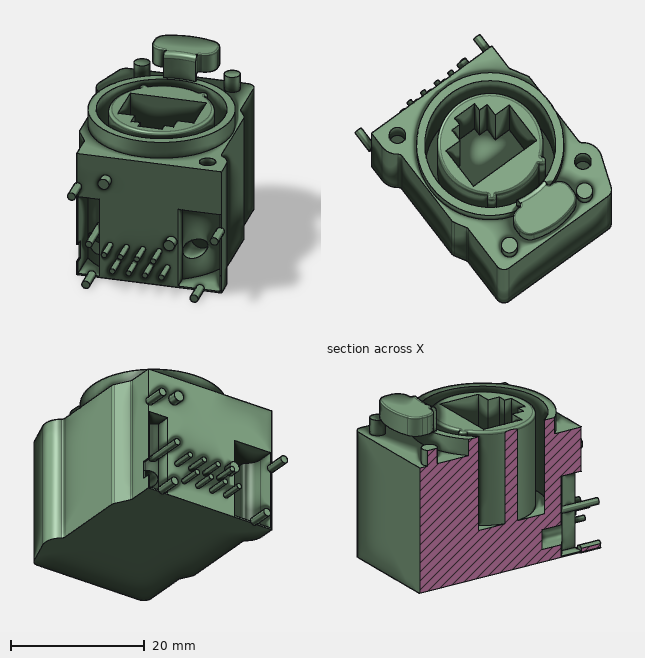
import cadquery as cq
import math


HOUSING_TOP = 20.35
BACK_Y = 16.45
FRONT_Y = -12.5
SIDE_X = 11.27
FRONT_LEFT_X = -9.68
BACK_RIGHT_X = 10.07
TAPER_ANGLE = 30
LEFT_STEP_Y = -5.4
RIGHT_STEP_Y = 5.7
EAR_OFFSET = 9.9
EAR_RADIUS = 2.9
EAR_HOLE_RADIUS = 1.25
EAR_HOLE_DEPTH = 4.9
EAR_FLANK_ANGLE = 20
BACK_CORNER_RADIUS = 1.3
STEP_OUTER_RADIUS = 1.15
STEP_INNER_RADIUS = 0.72
EAR_ROOT_RADIUS = 0.65

COLLAR_RADIUS = 11.0
COLLAR_TOP = 23.0
GROOVE_OUTER_RADIUS = 9.77
CORE_RADIUS = 7.92
CORE_TOP = COLLAR_TOP
CORE_EDGE_RADIUS = 0.45
CAVITY_FLOOR = 7.82
KEY_RADIUS = 0.7
KEY_CENTER_RADIUS = 8.0
KEY_ANGLES = (55, 125)

JACK_TOP_Y = 3.7
JACK_STEPS = ((5.9, -3.13), (3.3, -5.15), (1.85, -6.4))

POST_X = 7.0
POST_Y = 14.17
POST_RADIUS = 1.2
POST_TOP = 22.87

LATCH_TOP = 27.1
LATCH_BOTTOM = 24.08
LATCH_BACK_Y = 16.55
LATCH_HALF_WIDTH = 5.02
LATCH_FRONT_Y = 11.2
LATCH_BACK_ARC_RADIUS = 11.08
LATCH_CORNER_RADIUS = 1.95
LATCH_EDGE_RADIUS = 0.23
NECK_HALF_WIDTH = 2.5
NECK_ROOT_RADIUS = 0.35
ARM_INNER_RADIUS = 10.25
ARM_OUTER_RADIUS = 10.75
ARM_BEND_RADIUS = 0.85
ARM_EMBED = 0.15

WALL = 0.23
POCKET_FLOOR = 0.25
POCKET_TOP = 13.13
LEFT_POCKET_X = (FRONT_LEFT_X + WALL, -6.15)
RIGHT_POCKET_X = (6.05, EAR_OFFSET + EAR_RADIUS - WALL)
POCKET_BACK_RADIUS = 11.85
SOCKET_RADIUS = 1.55
SOCKETS = ((-7.82, 3.68), (7.7, 5.02))
SOCKET_END_Y = -5.55
NOTCH_DEPTH = 1.25
NOTCH_Z = (2.25, 5.08)

PIN_END_Y = -16.03
PEG_END_Y = -13.98
PEG_RADIUS = 0.85
PEGS = ((-5.1, 16.52), (5.05, 7.62))
GROUND_PIN_RADIUS = 0.62
GROUND_PINS = ((-9.5, 14.85), (12.65, 10.4), (-7.3, 0.35), (9.5, 0.35))
SHIELD_PIN = (-6.85, 7.2)
SHIELD_PIN_RADIUS = 0.52
SHIELD_PIN_START_Y = -7.82
CONTACT_RADIUS = 0.42
CONTACT_PITCH = 2.55
CONTACTS_PER_ROW = 4
CONTACT_ROWS = ((-4.45, 5.75), (-3.2, 3.2))


def on_circle(center, radius, angle):
    """Point on a circle, with the angle in degrees."""
    a = math.radians(angle)
    return (center[0] + radius * math.cos(a), center[1] + radius * math.sin(a))


def disc(x, y, radius, bottom, top):
    """Vertical cylinder between two heights."""
    return cq.Workplane("XY", origin=(x, y, bottom)).circle(radius).extrude(top - bottom)


def rod(x, z, radius, start_y, end_y):
    """Cylinder along -Y, from start_y forward to end_y."""
    return cq.Workplane("XZ", origin=(x, start_y, z)).circle(radius).extrude(start_y - end_y)


def block(x_range, y_range, z_range):
    """Box given by its two limits along each axis."""
    ranges = (x_range, y_range, z_range)
    size = [high - low for low, high in ranges]
    corner = [low for low, high in ranges]
    return cq.Workplane("XY").box(*size, centered=False).translate(tuple(corner))


def make_housing():
    """Prism of the housing outline with its vertical corners rounded."""
    slope = math.tan(math.radians(TAPER_ANGLE))
    left_ear = (-EAR_OFFSET, EAR_OFFSET)
    right_ear = (EAR_OFFSET, -EAR_OFFSET)

    left_step_inner = (FRONT_LEFT_X, LEFT_STEP_Y - (SIDE_X + FRONT_LEFT_X) / slope)
    left_step_outer = (-SIDE_X, LEFT_STEP_Y)
    right_step_outer = (SIDE_X, RIGHT_STEP_Y)
    right_step_inner = (BACK_RIGHT_X, RIGHT_STEP_Y + (SIDE_X - BACK_RIGHT_X) / slope)

    root_angle = math.degrees(math.acos((SIDE_X - EAR_OFFSET) / EAR_RADIUS))
    left_root = on_circle(left_ear, EAR_RADIUS, 180 + root_angle)
    right_root = on_circle(right_ear, EAR_RADIUS, root_angle)
    right_mid = on_circle(right_ear, EAR_RADIUS, root_angle / 2)
    right_end = on_circle(right_ear, EAR_RADIUS, 0)

    flank_angle = 180 - EAR_FLANK_ANGLE
    flank = on_circle(left_ear, EAR_RADIUS, flank_angle)
    left_mid = on_circle(left_ear, EAR_RADIUS, (180 + root_angle + flank_angle) / 2)
    flank_run = (BACK_Y - flank[1]) * math.tan(math.radians(EAR_FLANK_ANGLE))
    back_left = (flank[0] + flank_run, BACK_Y)
    back_right = (BACK_RIGHT_X, BACK_Y)

    housing = (
        cq.Workplane("XY")
        .moveTo(FRONT_LEFT_X, FRONT_Y)
        .lineTo(*left_step_inner)
        .lineTo(*left_step_outer)
        .lineTo(*left_root)
        .threePointArc(left_mid, flank)
        .lineTo(*back_left)
        .lineTo(*back_right)
        .lineTo(*right_step_inner)
        .lineTo(*right_step_outer)
        .lineTo(*right_root)
        .threePointArc(right_mid, right_end)
        .lineTo(right_end[0], FRONT_Y)
        .close()
        .extrude(HOUSING_TOP)
    )
    corner_radii = (
        (back_left, BACK_CORNER_RADIUS),
        (back_right, BACK_CORNER_RADIUS),
        (left_step_outer, STEP_OUTER_RADIUS),
        (right_step_outer, STEP_OUTER_RADIUS),
        (left_step_inner, STEP_INNER_RADIUS),
        (right_step_inner, STEP_INNER_RADIUS),
        (left_root, EAR_ROOT_RADIUS),
        (right_root, EAR_ROOT_RADIUS),
    )
    for (x, y), radius in corner_radii:
        corner = cq.selectors.NearestToPointSelector((x, y, HOUSING_TOP / 2))
        housing = housing.edges("|Z").edges(corner).fillet(radius)
    return housing


def make_core():
    """Plug core standing in the groove, with two keys and a rounded top rim."""
    core = disc(0, 0, CORE_RADIUS, CAVITY_FLOOR, CORE_TOP)
    for angle in KEY_ANGLES:
        x, y = on_circle((0, 0), KEY_CENTER_RADIUS, angle)
        core = core.union(disc(x, y, KEY_RADIUS, CAVITY_FLOOR, CORE_TOP))
    return core.faces(">Z").edges().fillet(CORE_EDGE_RADIUS)


def make_jack_opening():
    """Stepped opening for the modular plug, cut down to the cavity floor."""
    opening = cq.Workplane("XY")
    for half_width, lower_y in JACK_STEPS:
        step = block((-half_width, half_width), (lower_y, JACK_TOP_Y), (CAVITY_FLOOR, COLLAR_TOP))
        opening = opening.union(step)
    return opening


def make_latch():
    """Thumb pad and the bent arm that joins it to the collar."""
    back_arc_y = LATCH_BACK_Y - LATCH_BACK_ARC_RADIUS
    pad = block(
        (-LATCH_HALF_WIDTH, LATCH_HALF_WIDTH), (LATCH_FRONT_Y, LATCH_BACK_Y), (LATCH_BOTTOM, LATCH_TOP)
    )
    pad = pad.intersect(disc(0, back_arc_y, LATCH_BACK_ARC_RADIUS, LATCH_BOTTOM, LATCH_TOP))
    pad = pad.edges("|Z").fillet(LATCH_CORNER_RADIUS)

    bend_center = (ARM_INNER_RADIUS + ARM_BEND_RADIUS, LATCH_TOP - ARM_BEND_RADIUS)
    neck_x = (-NECK_HALF_WIDTH, NECK_HALF_WIDTH)
    neck = block(neck_x, (ARM_INNER_RADIUS, LATCH_FRONT_Y), (LATCH_BOTTOM, LATCH_TOP))
    pad = pad.union(neck)
    for side in (-1, 1):
        root = (side * NECK_HALF_WIDTH, LATCH_FRONT_Y, (LATCH_BOTTOM + LATCH_TOP) / 2)
        pad = pad.edges("|Z").edges(cq.selectors.NearestToPointSelector(root)).fillet(NECK_ROOT_RADIUS)
    pad = pad.faces(">Z").edges("not <Y").fillet(LATCH_EDGE_RADIUS)
    pad = pad.cut(disc(0, 0, bend_center[0], LATCH_BOTTOM, LATCH_TOP))

    arm = (
        cq.Workplane("XZ")
        .moveTo(ARM_INNER_RADIUS, COLLAR_TOP - ARM_EMBED)
        .lineTo(ARM_INNER_RADIUS, bend_center[1])
        .threePointArc(on_circle(bend_center, ARM_BEND_RADIUS, 135), (bend_center[0], LATCH_TOP))
        .lineTo(bend_center[0], LATCH_BOTTOM)
        .lineTo(ARM_OUTER_RADIUS, LATCH_BOTTOM)
        .lineTo(ARM_OUTER_RADIUS, COLLAR_TOP - ARM_EMBED)
        .close()
        .revolve(360, (0, 0, 0), (0, 1, 0))
    )
    arm = arm.intersect(block(neck_x, (0, LATCH_FRONT_Y), (0, LATCH_TOP)))
    return pad.union(arm)


def make_pocket(housing, x_range):
    """Hollow inside the housing wall, bounded behind by a convex cylinder."""
    outline = housing.faces("<Z").wires().val()
    inner = outline.offset2D(-WALL)[0]
    hollow = cq.Workplane("XY").add(inner).toPending().extrude(POCKET_TOP)
    hollow = hollow.union(block(x_range, (FRONT_Y - WALL, FRONT_Y + WALL), (0, POCKET_TOP)))
    hollow = hollow.intersect(block(x_range, (FRONT_Y - WALL, 0), (POCKET_FLOOR, POCKET_TOP)))
    return hollow.cut(disc(0, 0, POCKET_BACK_RADIUS, 0, POCKET_TOP))


def make_pins():
    """Locating pegs, ground pins, the shield pin and two staggered rows of contacts."""
    pins = rod(*SHIELD_PIN, SHIELD_PIN_RADIUS, SHIELD_PIN_START_Y, PIN_END_Y)
    for x, z in PEGS:
        pins = pins.union(rod(x, z, PEG_RADIUS, FRONT_Y, PEG_END_Y))
    for x, z in GROUND_PINS:
        pins = pins.union(rod(x, z, GROUND_PIN_RADIUS, FRONT_Y, PIN_END_Y))
    for first_x, z in CONTACT_ROWS:
        for i in range(CONTACTS_PER_ROW):
            contact = rod(first_x + i * CONTACT_PITCH, z, CONTACT_RADIUS, FRONT_Y, PIN_END_Y)
            pins = pins.union(contact)
    return pins


housing = make_housing()
left_pocket = make_pocket(housing, LEFT_POCKET_X)
right_pocket = make_pocket(housing, RIGHT_POCKET_X)
result = housing.cut(left_pocket).cut(right_pocket)
for socket_x, socket_z in SOCKETS:
    result = result.cut(rod(socket_x, socket_z, SOCKET_RADIUS, SOCKET_END_Y, FRONT_Y))
result = result.cut(block((FRONT_LEFT_X, LEFT_POCKET_X[0]), (FRONT_Y, FRONT_Y + NOTCH_DEPTH), NOTCH_Z))

result = result.union(disc(0, 0, COLLAR_RADIUS, HOUSING_TOP, COLLAR_TOP))
result = result.cut(disc(0, 0, GROOVE_OUTER_RADIUS, CAVITY_FLOOR, COLLAR_TOP))
result = result.union(make_core()).cut(make_jack_opening())

for sign in (-1, 1):
    result = result.union(disc(sign * POST_X, POST_Y, POST_RADIUS, HOUSING_TOP, POST_TOP))
    ear_hole = disc(
        sign * EAR_OFFSET, -sign * EAR_OFFSET, EAR_HOLE_RADIUS, HOUSING_TOP - EAR_HOLE_DEPTH, HOUSING_TOP
    )
    result = result.cut(ear_hole)

result = result.union(make_latch()).union(make_pins())